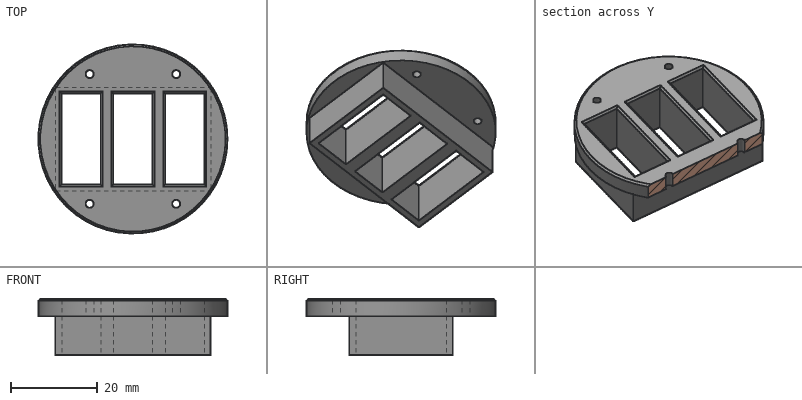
import cadquery as cq

flange_diameter = 43.8
total_height = 13.0
box_height = 9.0
flange_thickness = total_height - box_height
edge_chamfer = 0.5

box_length = 36.0
box_width = 23.95

window_count = 3
window_length = 9.02
window_width = 21.02
window_pitch = 12.0

hole_diameter = 1.8
hole_spacing_x = 20.0
hole_spacing_y = 30.0


def make_flange():
    """Disc with a chamfered top rim."""
    disc = cq.Workplane("XY").circle(flange_diameter / 2).extrude(flange_thickness)
    return disc.faces(">Z").edges().chamfer(edge_chamfer)


def make_box():
    """Block hanging from the underside of the flange."""
    return cq.Workplane("XY").rect(box_length, box_width).extrude(-box_height)


def make_windows():
    """Cutters for the windows, each flaring out at the top face."""
    shafts = (
        cq.Workplane("XY", origin=(0, 0, -box_height))
        .rarray(window_pitch, 0.45, window_count, 1)
        .rect(window_length, window_width)
        .extrude(total_height)
    )
    for index in range(window_count):
        x = (index - (window_count - 1) / 2) * window_pitch
        flare = (
            cq.Workplane("XY", origin=(x, 0, flange_thickness))
            .rect(window_length + 2 * edge_chamfer, window_width + 2 * edge_chamfer)
            .workplane(offset=-edge_chamfer)
            .rect(window_length, window_width)
            .loft(ruled=True)
        )
        shafts = shafts.union(flare)
    return shafts


def make_holes():
    """Cutters for the four holes through the flange."""
    return (
        cq.Workplane("XY")
        .rarray(hole_spacing_x, hole_spacing_y, 2, 2)
        .circle(hole_diameter / 2)
        .extrude(flange_thickness)
    )


result = make_flange().union(make_box()).cut(make_windows()).cut(make_holes())